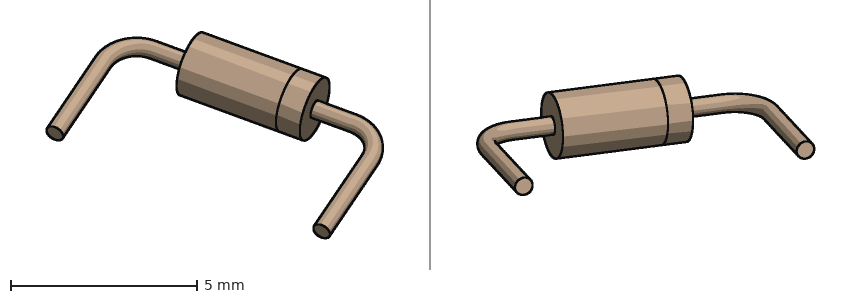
import cadquery as cq

overall_length = 8.5
overall_depth = 4.8

body_diameter = 1.8
body_length = 3.7
band_length = 0.71

wire_diameter = 0.5
bend_radius = 1.0

lead_x = (overall_length - wire_diameter) / 2
straight_x = lead_x - bend_radius
lead_end_y = body_diameter / 2 - overall_depth
body_start_x = -body_length / 2
band_start_x = body_length / 2 - band_length


def make_sleeve(start_x, length):
    """Cylinder along X with a bore that fits the wire."""
    return (
        cq.Workplane("YZ", origin=(start_x, 0, 0))
        .circle(body_diameter / 2)
        .circle(wire_diameter / 2)
        .extrude(length)
    )


def make_wire():
    """Round wire swept along a U-shaped path in the XY plane."""
    path = (
        cq.Workplane("XY")
        .moveTo(-lead_x, lead_end_y)
        .lineTo(-lead_x, -bend_radius)
        .tangentArcPoint((-straight_x, 0), relative=False)
        .lineTo(straight_x, 0)
        .tangentArcPoint((lead_x, -bend_radius), relative=False)
        .lineTo(lead_x, lead_end_y)
    )
    return (
        cq.Workplane("XZ", origin=(-lead_x, lead_end_y, 0))
        .circle(wire_diameter / 2)
        .sweep(path)
    )


main_body = make_sleeve(body_start_x, body_length - band_length)
end_band = make_sleeve(band_start_x, band_length)
bent_wire = make_wire()

result = cq.Compound.makeCompound([main_body.val(), end_band.val(), bent_wire.val()])